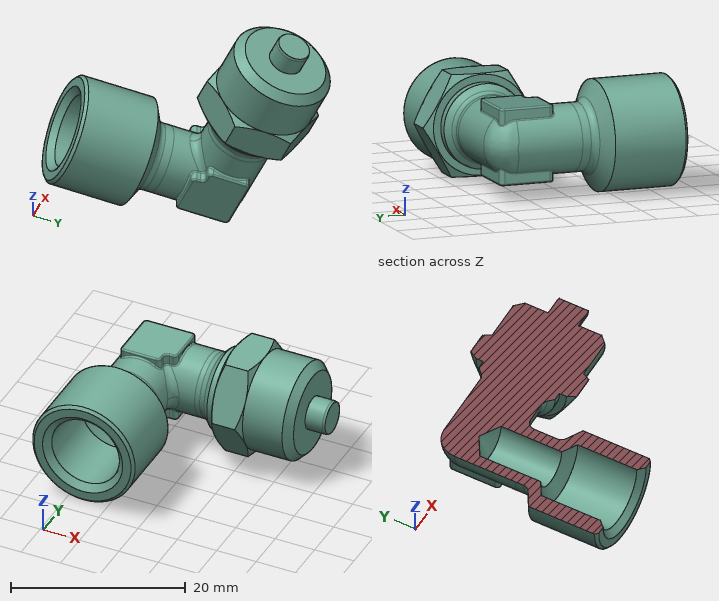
import cadquery as cq
import math


PIPE_RADIUS = 4.0
PIPE_LENGTH = 6.95
OUTER_BEND_FILLET = 3.0
INNER_BEND_FILLET = 1.0
MITRE_CORE = 0.87
NECK_FILLET = 1.0

SOCKET_LENGTH = 19.0
SOCKET_RADIUS = 6.5
SOCKET_START = 10.0
SOCKET_CONE_ANGLE = 60
RIM_CHAMFER = 0.35
BORE_RADIUS = 4.3
BORE_MOUTH_RADIUS = 5.08
BORE_DEPTH = 8.5
PILOT_RADIUS = 2.5
DRILL_ANGLE = 59

COLLAR_RADIUS = 5.0
COLLAR_CONE_START = 8.0
NUT_START = 10.0
NUT_END = 14.0
NUT_ACROSS_FLATS = 12.0
NUT_FRONT_RADIUS = 5.9
NUT_CHAMFER_ANGLE = 30
BODY_RADIUS = NUT_ACROSS_FLATS / 2
BODY_END = 20.0
BODY_CHAMFER = 1.0
STUB_RADIUS = 2.0
STUB_END = 22.5
STUB_TIP_LENGTH = 0.3
STUB_TIP_DROP = 0.1

PAD_HEIGHT = 4.5
PAD_NEAR = 2.55
PAD_FAR = 4.0
PAD_CORNER_FILLET = 0.5
PAD_EDGE_FILLET = 0.2
PAD_FOOT_FILLET = 0.2
PAD_SPLIT = 1.45

BLOCK = 58.0
TOLERANCE = 0.003


def tan_deg(angle):
    return math.tan(math.radians(angle))


def turned(outline):
    """Solid turned about the X axis from (position, radius) points."""
    return cq.Workplane("XY").polyline(outline).close().revolve(360, (0, 0, 0), (1, 0, 0))


def turned_arm(outline, neck_position):
    """Turned solid with its inside corner at the neck rounded."""
    neck = cq.selectors.BoxSelector(
        (neck_position - TOLERANCE, -BLOCK, -BLOCK),
        (neck_position + TOLERANCE, BLOCK, BLOCK),
        boundingbox=True,
    )
    return turned(outline).edges(neck).fillet(NECK_FILLET)


def along_socket(solid):
    """Turn a solid built along +X to lie along -Y."""
    return solid.rotate((0, 0, 0), (0, 0, 1), -90)


def mitre_slab(start, end):
    """Block between two offsets measured from the origin towards the outer corner of the bend."""
    slab = cq.Workplane("XY").box(end - start, BLOCK, BLOCK).translate(((start + end) / 2, 0, 0))
    return slab.rotate((0, 0, 0), (0, 0, 1), 135)


def round_mitre(piece, radius):
    """Round the mitre edge, which lies in the plane x + y = 0."""
    mitre_edges = [
        edge for edge in piece.edges("not %LINE").vals()
        if abs(edge.Center().x + edge.Center().y) < TOLERANCE
    ]
    return cq.Workplane(piece.val().fillet(radius, mitre_edges[:1]))


def pipe_bend():
    """Two mitred pipes; the mitre is rounded on its outer and inner sides."""
    nut_side = (
        cq.Workplane("XY")
        .polyline([(-BLOCK, BLOCK), (BLOCK, -BLOCK), (BLOCK, BLOCK)])
        .close()
        .extrude(BLOCK / 2, both=True)
    )
    pipe = (
        cq.Workplane("YZ")
        .circle(PIPE_RADIUS)
        .extrude(PIPE_LENGTH + PIPE_RADIUS)
        .translate((-PIPE_RADIUS, 0, 0))
    )
    mitred = pipe.intersect(nut_side).union(along_socket(pipe).cut(nut_side))

    outer = round_mitre(mitred.intersect(mitre_slab(MITRE_CORE, BLOCK)), OUTER_BEND_FILLET)
    inner = round_mitre(mitred.intersect(mitre_slab(-BLOCK, -MITRE_CORE)), INNER_BEND_FILLET)
    core = mitred.intersect(mitre_slab(-MITRE_CORE, MITRE_CORE))
    return core.union(outer).union(inner)


def pads():
    """Square pad with a notched inner corner, running through the bend to both faces."""
    outline = [
        (-PAD_NEAR, PAD_NEAR),
        (PAD_FAR, PAD_NEAR),
        (PAD_FAR, -PAD_NEAR),
        (PAD_NEAR, -PAD_NEAR),
        (PAD_NEAR, -PAD_FAR),
        (-PAD_NEAR, -PAD_FAR),
    ]
    block = cq.Workplane("XY").polyline(outline).close().extrude(PAD_HEIGHT, both=True)
    return block.edges("|Z").fillet(PAD_CORNER_FILLET).faces("|Z").edges().fillet(PAD_EDGE_FILLET)


def quarter_block(x_side, y_side):
    """Block filling one quarter of the XY plane around the pad split point."""
    block = cq.Workplane("XY").box(BLOCK, BLOCK, BLOCK)
    return block.translate((PAD_SPLIT + x_side * BLOCK / 2, -PAD_SPLIT + y_side * BLOCK / 2, 0))


def padded_bend():
    """Bend with both pads, their feet rounded one quarter at a time."""
    sharp = pipe_bend().union(pads())
    foot_height = math.sqrt(PIPE_RADIUS**2 - PAD_NEAR**2)
    notch_wall_middle = (PAD_NEAR + PAD_FAR) / 2
    quarters = [
        (-1, 1, 0, PAD_NEAR),
        (1, 1, PAD_NEAR, PAD_NEAR),
        (-1, -1, -PAD_NEAR, -PAD_NEAR),
        (1, -1, PAD_NEAR, -notch_wall_middle),
    ]
    bend = None
    for x_side, y_side, foot_x, foot_y in quarters:
        piece = sharp.intersect(quarter_block(x_side, y_side))
        for foot_z in (foot_height, -foot_height):
            foot = cq.selectors.NearestToPointSelector((foot_x, foot_y, foot_z))
            piece = piece.edges(foot).fillet(PAD_FOOT_FILLET)
        bend = piece if bend is None else bend.union(piece)
    return bend


def socket_arm():
    cone_start = SOCKET_START - (SOCKET_RADIUS - PIPE_RADIUS) / tan_deg(SOCKET_CONE_ANGLE)
    outline = [
        (PIPE_LENGTH, 0),
        (PIPE_LENGTH, PIPE_RADIUS),
        (cone_start, PIPE_RADIUS),
        (SOCKET_START, SOCKET_RADIUS),
        (SOCKET_LENGTH - RIM_CHAMFER, SOCKET_RADIUS),
        (SOCKET_LENGTH, SOCKET_RADIUS - RIM_CHAMFER),
        (SOCKET_LENGTH, 0),
    ]
    return along_socket(turned_arm(outline, cone_start))


def socket_bore():
    """Bore with a flared mouth, a conical bottom and a drilled pilot ending at the origin."""
    bore_end = SOCKET_LENGTH - BORE_DEPTH
    mouth_depth = BORE_MOUTH_RADIUS - BORE_RADIUS
    outline = [
        (0, 0),
        (PILOT_RADIUS / tan_deg(DRILL_ANGLE), PILOT_RADIUS),
        (bore_end - (BORE_RADIUS - PILOT_RADIUS) / tan_deg(DRILL_ANGLE), PILOT_RADIUS),
        (bore_end, BORE_RADIUS),
        (SOCKET_LENGTH - mouth_depth, BORE_RADIUS),
        (SOCKET_LENGTH, BORE_MOUTH_RADIUS),
        (SOCKET_LENGTH, 0),
    ]
    return along_socket(turned(outline))


def nut_arm():
    cone_end = COLLAR_CONE_START + COLLAR_RADIUS - PIPE_RADIUS
    outline = [
        (PIPE_LENGTH, 0),
        (PIPE_LENGTH, PIPE_RADIUS),
        (COLLAR_CONE_START, PIPE_RADIUS),
        (cone_end, COLLAR_RADIUS),
        (NUT_START, COLLAR_RADIUS),
        (NUT_START, NUT_FRONT_RADIUS),
        (NUT_END, NUT_FRONT_RADIUS),
        (NUT_END, BODY_RADIUS),
        (BODY_END - BODY_CHAMFER, BODY_RADIUS),
        (BODY_END, BODY_RADIUS - BODY_CHAMFER),
        (BODY_END, STUB_RADIUS),
        (STUB_END - STUB_TIP_LENGTH, STUB_RADIUS),
        (STUB_END, STUB_RADIUS - STUB_TIP_DROP),
        (STUB_END, 0),
    ]
    return turned_arm(outline, COLLAR_CONE_START)


def hex_nut():
    """Hexagon with flats facing up and down and both faces chamfered."""
    corner_radius = NUT_ACROSS_FLATS / math.sqrt(3)
    slope = tan_deg(NUT_CHAMFER_ANGLE)
    hexagon = (
        cq.Workplane("YZ")
        .workplane(offset=NUT_START)
        .polygon(6, 2 * corner_radius)
        .extrude(NUT_END - NUT_START)
    )
    envelope = turned([
        (NUT_START, 0),
        (NUT_START, NUT_FRONT_RADIUS),
        (NUT_START + (corner_radius - NUT_FRONT_RADIUS) * slope, corner_radius),
        (NUT_END - (corner_radius - BODY_RADIUS) * slope, corner_radius),
        (NUT_END, BODY_RADIUS),
        (NUT_END, 0),
    ])
    return hexagon.intersect(envelope)


result = (
    padded_bend()
    .union(socket_arm())
    .union(nut_arm())
    .union(hex_nut())
    .cut(socket_bore())
)